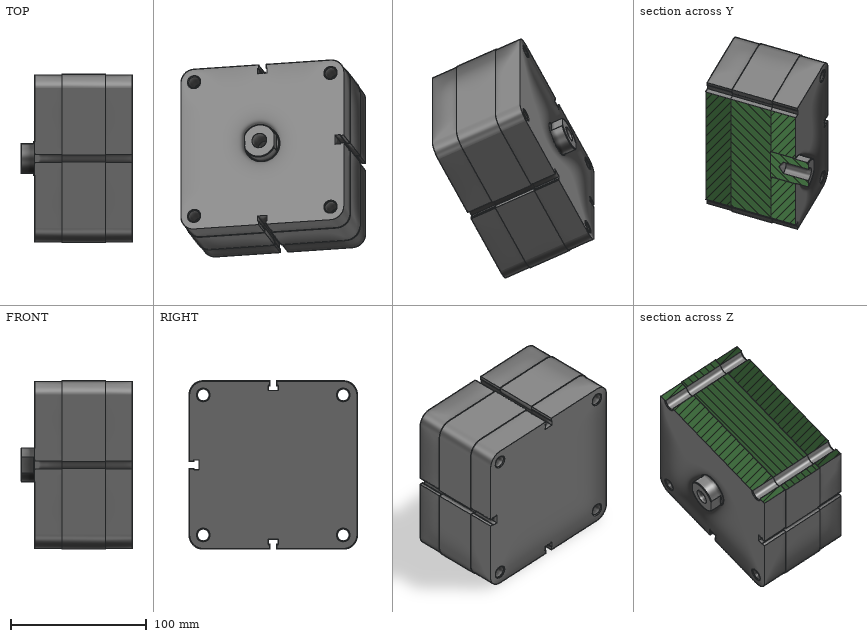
import cadquery as cq
import math

cap_length = 20.0
barrel_length = 32.0
rod_reach = 10.0
barrel_start = cap_length
body_length = barrel_start + barrel_length + cap_length

barrel_width = 124.0
cap_width = 123.0
bolt_pitch = 103.0
barrel_corner_radius = (barrel_width - bolt_pitch) / 2
cap_corner_radius = (cap_width - bolt_pitch) / 2

bolt_hole_diameter = 8.6
bolt_hole_chamfer = 0.7

slot_floor_width = 7.0
slot_floor_radius = 54.8
barrel_mouth_width = 5.0
barrel_shoulder_radius = 58.2
cap_mouth_width = 5.8
cap_shoulder_radius = 58.7
slot_angles = (0, 90, 180)

rod_diameter = 25.0
rod_tip_chamfer = 0.5
rod_across_flats = 22.0
flat_length = 9.0
rod_bore_diameter = 11.0
rod_bore_depth = 20.0
drill_point_angle = 118.0
rod_hole_chamfer = 0.8


def slot_cutter(start, length, mouth_width, shoulder_radius, angle):
    """T-shaped bar along X that opens through the +Z side, then turned about X."""
    cutter_top = barrel_width
    floor = (
        cq.Workplane("YZ", origin=(start, 0, 0))
        .center(0, (slot_floor_radius + shoulder_radius) / 2)
        .rect(slot_floor_width, shoulder_radius - slot_floor_radius)
        .extrude(length)
    )
    mouth = (
        cq.Workplane("YZ", origin=(start, 0, 0))
        .center(0, (slot_floor_radius + cutter_top) / 2)
        .rect(mouth_width, cutter_top - slot_floor_radius)
        .extrude(length)
    )
    return floor.union(mouth).rotate((0, 0, 0), (1, 0, 0), angle)


def square_block(start, length, width, corner_radius, mouth_width, shoulder_radius):
    """Rounded square block with four through holes and its sensor slots."""
    block = (
        cq.Workplane("YZ", origin=(start, 0, 0))
        .rect(width, width)
        .extrude(length)
        .edges("|X")
        .fillet(corner_radius)
    )
    holes = (
        cq.Workplane("YZ", origin=(start, 0, 0))
        .rect(bolt_pitch, bolt_pitch, forConstruction=True)
        .vertices()
        .circle(bolt_hole_diameter / 2)
        .extrude(length)
    )
    block = block.cut(holes)
    for angle in slot_angles:
        block = block.cut(slot_cutter(start, length, mouth_width, shoulder_radius, angle))
    return block


def mouth_chamfer(diameter, chamfer):
    """Cone on the X axis that chamfers the mouth of a hole entering at X = 0."""
    radius = diameter / 2
    return (
        cq.Workplane("XY")
        .lineTo(0, radius + chamfer)
        .lineTo(chamfer, radius)
        .lineTo(chamfer, 0)
        .close()
        .revolve(360, (0, 0, 0), (1, 0, 0))
    )


def make_cap():
    """End cap with its outer face at X = 0, where the mounting holes are chamfered."""
    cap = square_block(
        0, cap_length, cap_width, cap_corner_radius, cap_mouth_width, cap_shoulder_radius
    )
    chamfer_cone = mouth_chamfer(bolt_hole_diameter, bolt_hole_chamfer)
    for y_side in (-1, 1):
        for z_side in (-1, 1):
            hole_centre = (0, y_side * bolt_pitch / 2, z_side * bolt_pitch / 2)
            cap = cap.cut(chamfer_cone.translate(hole_centre))
    return cap


def make_front_cap():
    """Front cap with a chamfered through hole for the piston rod."""
    rod_hole = cq.Workplane("YZ").circle(rod_diameter / 2).extrude(cap_length)
    return make_cap().cut(rod_hole).cut(mouth_chamfer(rod_diameter, rod_hole_chamfer))


def make_rear_cap():
    """Plain cap mirrored so that its chamfered face closes the rear end."""
    return make_cap().mirror("YZ").translate((body_length, 0, 0))


def make_barrel():
    """Middle section between the two caps."""
    return square_block(
        barrel_start,
        barrel_length,
        barrel_width,
        barrel_corner_radius,
        barrel_mouth_width,
        barrel_shoulder_radius,
    )


def make_rod():
    """Rod with wrench flats and a blind bore that ends in a drill point."""
    rod = (
        cq.Workplane("YZ", origin=(-rod_reach, 0, 0))
        .circle(rod_diameter / 2)
        .extrude(rod_reach + cap_length)
        .faces("<X")
        .chamfer(rod_tip_chamfer)
    )
    flat_cut_depth = (rod_diameter - rod_across_flats) / 2
    flat_cut_centre_y = (rod_across_flats + flat_cut_depth) / 2
    flat_cut = cq.Workplane("XY").box(flat_length, flat_cut_depth, rod_diameter)
    for side in (-1, 1):
        rod = rod.cut(flat_cut.translate((flat_length / 2 - rod_reach, side * flat_cut_centre_y, 0)))

    bore_radius = rod_bore_diameter / 2
    point_length = bore_radius / math.tan(math.radians(drill_point_angle / 2))
    bore_end = rod_bore_depth - rod_reach
    bore = (
        cq.Workplane("XY")
        .moveTo(-rod_reach, 0)
        .lineTo(-rod_reach, bore_radius)
        .lineTo(bore_end, bore_radius)
        .lineTo(bore_end + point_length, 0)
        .close()
        .revolve(360, (0, 0, 0), (1, 0, 0))
    )
    return rod.cut(bore)


front_cap = make_front_cap()
barrel = make_barrel()
rear_cap = make_rear_cap()
rod = make_rod()

result = cq.Compound.makeCompound([front_cap.val(), barrel.val(), rear_cap.val(), rod.val()])